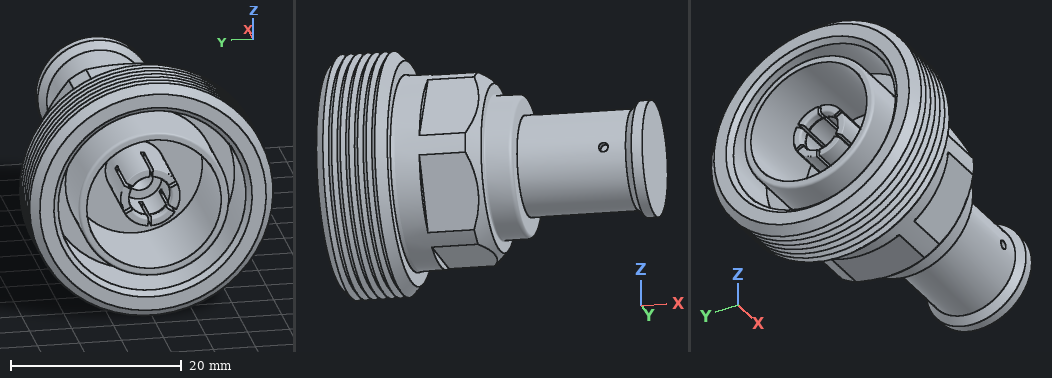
import cadquery as cq
import math

rim_x = 0.6
shell_end_x = 9.07
flats_start_x = 12.5
nut_end_x = 19.57
collar_end_x = 23.0
flare_start_x = 36.0
overall_length = 38.2

crest_radius = 14.5
thread_depth = 0.73
thread_pitch = 1.035
crest_count = 7
rim_chamfer = 1.03
first_crest_x = rim_x + rim_chamfer
last_crest_x = first_crest_x + (crest_count - 1) * thread_pitch
back_chamfer = shell_end_x - last_crest_x

nut_radius = 11.5
across_flats = 21.0
flat_count = 6
nut_chamfer = 1.53
neck_length = 0.47
neck_rise = 0.12

collar_radius = 8.5
collar_round = 0.5
collar_root_round = 0.2
tube_radius = 6.0
flare_radius = 6.9
flare_rise = flare_radius - tube_radius
side_hole_diameter = 1.1
side_hole_x = 33.36
side_hole_depth = 1.0

gap_radius = 11.17
gap_entry_radius = 11.8
gap_floor_x = 8.5
sleeve_radius = 8.95
sleeve_round = 0.35
sleeve_bore_radius = 8.0
sleeve_floor_x = 12.0

contact_tip_x = 2.2
contact_radius = 3.53
socket_radius = 2.52
socket_entry_round = 0.28
socket_lip_length = 1.2
socket_relief_radius = 2.65
contact_tip_round = 0.1
socket_floor_x = 9.0
drill_point_radius = 1.57
drill_point_angle = 118.0
slot_count = 6
slot_width = 0.39
slot_end_x = 8.0
slot_reach = contact_radius + 1.0
slot_tilt = 1.8

inner_edge = cq.selectors.RadiusNthSelector(0)
outer_edge = cq.selectors.RadiusNthSelector(-1)


def revolve_about_x(outline):
    """Spin a closed (x, radius) outline a full turn about the X axis."""
    return outline.close().revolve(360, (0, 0, 0), (1, 0, 0))


def tube_along_x(start_x, end_x, outer_radius, inner_radius=None):
    """Cylinder or ring about the X axis."""
    sketch = cq.Workplane("YZ", origin=(start_x, 0, 0)).circle(outer_radius)
    if inner_radius:
        sketch = sketch.circle(inner_radius)
    return sketch.extrude(end_x - start_x)


def bore_entry(face_x, entry_radius, bore_radius):
    """45 degree countersink cutter from entry_radius down to bore_radius."""
    depth = entry_radius - bore_radius
    outline = (
        cq.Workplane("XZ")
        .moveTo(face_x, 0)
        .lineTo(face_x, entry_radius)
        .lineTo(face_x + depth, bore_radius)
        .lineTo(face_x + depth, 0)
    )
    return revolve_about_x(outline)


def threaded_shell():
    outline = (
        cq.Workplane("XZ")
        .moveTo(rim_x, 0)
        .lineTo(rim_x, crest_radius - rim_chamfer)
        .lineTo(first_crest_x, crest_radius)
    )
    for groove in range(crest_count - 1):
        crest_x = first_crest_x + groove * thread_pitch
        outline = outline.lineTo(crest_x + thread_pitch / 2, crest_radius - thread_depth)
        outline = outline.lineTo(crest_x + thread_pitch, crest_radius)
    outline = outline.lineTo(shell_end_x, crest_radius - back_chamfer).lineTo(shell_end_x, 0)
    return revolve_about_x(outline)


def hex_section():
    outline = (
        cq.Workplane("XZ")
        .moveTo(shell_end_x, 0)
        .lineTo(shell_end_x, nut_radius + neck_rise)
        .lineTo(shell_end_x + neck_length, nut_radius)
        .lineTo(nut_end_x - nut_chamfer, nut_radius)
        .lineTo(nut_end_x, nut_radius - nut_chamfer)
        .lineTo(nut_end_x, 0)
    )
    body = revolve_about_x(outline)
    corner_diameter = across_flats / math.cos(math.pi / flat_count)
    flats_length = nut_end_x - flats_start_x
    flats_plane = cq.Workplane("YZ", origin=(flats_start_x, 0, 0))
    hexagon = flats_plane.polygon(flat_count, corner_diameter).extrude(flats_length)
    removed = tube_along_x(flats_start_x, nut_end_x, crest_radius).cut(hexagon)
    return body.cut(removed)


def rear_body():
    diagonal = math.sqrt(0.5)
    root_mid = collar_root_round * (1 - diagonal)
    edge_mid = collar_round * (1 - diagonal)
    outline = (
        cq.Workplane("XZ")
        .moveTo(nut_end_x, 0)
        .lineTo(nut_end_x, collar_radius + collar_root_round)
        .threePointArc(
            (nut_end_x + root_mid, collar_radius + root_mid),
            (nut_end_x + collar_root_round, collar_radius),
        )
        .lineTo(collar_end_x - collar_round, collar_radius)
        .threePointArc(
            (collar_end_x - edge_mid, collar_radius - edge_mid),
            (collar_end_x, collar_radius - collar_round),
        )
        .lineTo(collar_end_x, tube_radius)
        .lineTo(flare_start_x, tube_radius)
        .lineTo(flare_start_x + flare_rise, flare_radius)
        .lineTo(overall_length, flare_radius)
        .lineTo(overall_length, 0)
    )
    return revolve_about_x(outline)


def side_hole():
    """Blind hole entering the tube from the -Y side."""
    plane = cq.Workplane("XZ", origin=(side_hole_x, side_hole_depth - tube_radius, 0))
    return plane.circle(side_hole_diameter / 2).extrude(tube_radius)


def front_cavity():
    gap = tube_along_x(rim_x, gap_floor_x, gap_radius)
    core = tube_along_x(rim_x, sleeve_floor_x, sleeve_bore_radius)
    return gap.union(core).union(bore_entry(rim_x, gap_entry_radius, gap_radius))


def outer_sleeve():
    sleeve = tube_along_x(0, sleeve_floor_x, sleeve_radius, sleeve_bore_radius)
    return sleeve.faces("<X").edges(outer_edge).fillet(sleeve_round)


def centre_contact():
    contact = tube_along_x(contact_tip_x, sleeve_floor_x, contact_radius)
    contact = contact.cut(tube_along_x(contact_tip_x, socket_floor_x, socket_radius))
    relief_x = contact_tip_x + socket_lip_length
    contact = contact.cut(tube_along_x(relief_x, socket_floor_x, socket_relief_radius))
    contact = contact.faces("<X").edges(inner_edge).fillet(socket_entry_round)
    contact = contact.faces("<X").edges(outer_edge).fillet(contact_tip_round)
    point_depth = drill_point_radius / math.tan(math.radians(drill_point_angle / 2))
    drill_point = (
        cq.Workplane("XZ")
        .moveTo(socket_floor_x, 0)
        .lineTo(socket_floor_x, drill_point_radius)
        .lineTo(socket_floor_x + point_depth, 0)
    )
    contact = contact.cut(revolve_about_x(drill_point))
    slot_length = slot_end_x - contact_tip_x
    slot_plane = cq.Workplane("XY", origin=(contact_tip_x, 0, 0))
    slot = slot_plane.box(slot_length, slot_width, slot_reach, centered=(False, True, False))
    for index in range(slot_count):
        angle = slot_tilt + index * 360 / slot_count
        contact = contact.cut(slot.rotate((0, 0, 0), (1, 0, 0), angle))
    return contact


body = threaded_shell().union(hex_section()).union(rear_body())
body = body.cut(side_hole()).cut(front_cavity())
result = body.union(outer_sleeve()).union(centre_contact())